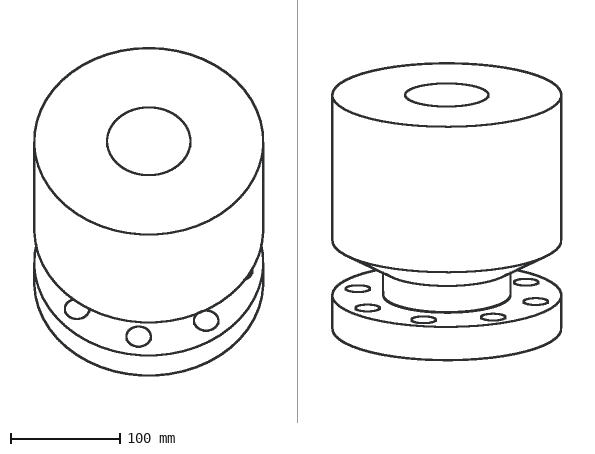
import cadquery as cq

total_height = 222.2
outer_diameter = 209.5
bore_diameter = 76.2

flange_thickness = 31.8
raised_face_height = 0.7
neck_height = 25.0
cone_height = 26.5

neck_diameter = 116.7
raised_face_diameter = 116.5

bolt_hole_count = 8
bolt_circle_diameter = 168.0
bolt_hole_diameter = 22.5

outer_radius = outer_diameter / 2
bore_radius = bore_diameter / 2
neck_radius = neck_diameter / 2
raised_face_radius = raised_face_diameter / 2
neck_bottom = flange_thickness + raised_face_height
neck_top = neck_bottom + neck_height
cone_top = neck_top + cone_height


def make_body():
    """Revolve the half section of flange, raised face, neck, cone and drum around Z."""
    half_section = (
        cq.Workplane("XZ")
        .moveTo(bore_radius, 0)
        .lineTo(outer_radius, 0)
        .lineTo(outer_radius, flange_thickness)
        .lineTo(raised_face_radius, flange_thickness)
        .lineTo(raised_face_radius, neck_bottom)
        .lineTo(neck_radius, neck_bottom)
        .lineTo(neck_radius, neck_top)
        .lineTo(outer_radius, cone_top)
        .lineTo(outer_radius, total_height)
        .lineTo(bore_radius, total_height)
        .close()
    )
    return half_section.revolve(360, (0, 0, 0), (0, 1, 0))


def make_bolt_holes():
    """Cylinders through the flange, evenly spaced on the bolt circle."""
    return (
        cq.Workplane("XY")
        .polarArray(bolt_circle_diameter / 2, 0, 360, bolt_hole_count)
        .circle(bolt_hole_diameter / 2)
        .extrude(flange_thickness)
    )


result = make_body().cut(make_bolt_holes())